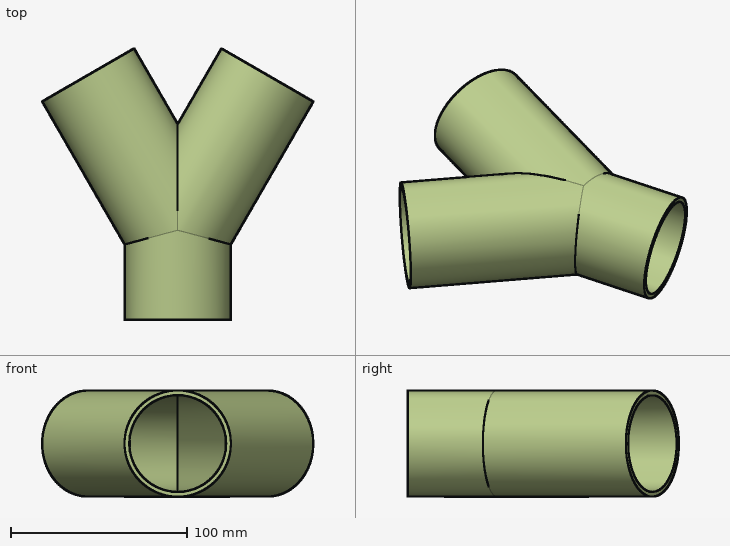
import cadquery as cq
import math

overall_width = 153.9
overall_length = 153.9
outer_diameter = 60.3
bore_diameter = 54.8
branch_angle = math.radians(30.0)

outer_radius = outer_diameter / 2
branch_reach_x = overall_width / 2 - outer_radius * math.cos(branch_angle)
branch_reach_y = branch_reach_x / math.tan(branch_angle)
inlet_length = overall_length - branch_reach_y - outer_radius * math.sin(branch_angle)


def bent_rod(diameter, side):
    """Solid rod along the inlet and one branch, mitred at the junction."""
    path = cq.Workplane("XY").polyline([
        (0, 0),
        (0, inlet_length),
        (side * branch_reach_x, inlet_length + branch_reach_y),
    ])
    return cq.Workplane("XZ").circle(diameter / 2).sweep(path, transition="right")


def forked_rod(diameter):
    """Inlet and both branches joined into one solid."""
    return bent_rod(diameter, -1).union(bent_rod(diameter, 1))


result = forked_rod(outer_diameter).cut(forked_rod(bore_diameter))